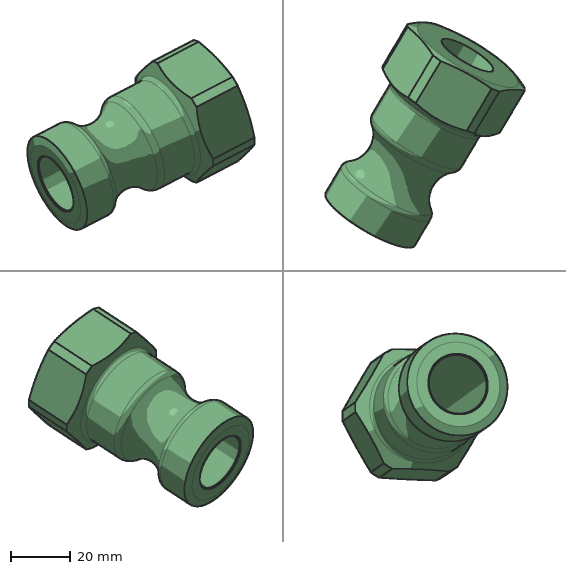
import cadquery as cq
import math

length = 67.0
body_radius = 35.0 / 2
bore_radius = 20.0 / 2
bore_chamfer = 0.4

end_face_radius = 14.5
end_bevel_depth = 0.75

front_land_end = 11.5
neck_radius = 12.5
neck_arc_radius = 11.05
front_blend_radius = 2.2
rear_blend_radius = 3.0

across_flats = 41.0
corner_radius = 45.5 / 2
shoulder_start = 44.9
shoulder_fillet = 2.0
shoulder_angle = math.radians(30)
back_bevel_depth = 0.9
back_bevel_angle = math.radians(15)

neck_arc_height = neck_radius + neck_arc_radius


def neck_offset(blend_radius):
    """Axial distance from the neck centre to the centre of a tangent blend arc."""
    centre_distance = neck_arc_radius + blend_radius
    rise = neck_arc_height - (body_radius - blend_radius)
    return math.sqrt(centre_distance**2 - rise**2)


neck_y = front_land_end + neck_offset(front_blend_radius)
rear_land_start = neck_y + neck_offset(rear_blend_radius)


def blend_points(blend_y, blend_radius):
    """Return the middle of a blend arc and its tangent point on the neck arc."""
    centre_height = body_radius - blend_radius
    along = neck_y - blend_y
    up = neck_arc_height - centre_height
    start_angle = math.pi / 2
    tangent_angle = math.atan2(up, along)
    middle_angle = (start_angle + tangent_angle) / 2

    def on_arc(angle):
        return (
            centre_height + blend_radius * math.sin(angle),
            blend_y + blend_radius * math.cos(angle),
        )

    return on_arc(middle_angle), on_arc(tangent_angle)


def turned_blank():
    """Revolve the (radius, Y) half section about the Y axis."""
    front_middle, front_tangent = blend_points(front_land_end, front_blend_radius)
    rear_middle, rear_tangent = blend_points(rear_land_start, rear_blend_radius)

    fillet_sweep = math.pi / 2 - shoulder_angle

    def on_fillet(angle):
        return (
            body_radius + shoulder_fillet * (1 - math.cos(angle)),
            shoulder_start + shoulder_fillet * math.sin(angle),
        )

    cone_start = on_fillet(fillet_sweep)
    cone_end_y = cone_start[1] + (corner_radius - cone_start[0]) * math.tan(shoulder_angle)
    back_face_radius = corner_radius - back_bevel_depth / math.tan(back_bevel_angle)

    section = (
        cq.Workplane("XY")
        .moveTo(0, 0)
        .lineTo(end_face_radius, 0)
        .lineTo(body_radius, end_bevel_depth)
        .lineTo(body_radius, front_land_end)
        .threePointArc(front_middle, front_tangent)
        .threePointArc((neck_radius, neck_y), rear_tangent)
        .threePointArc(rear_middle, (body_radius, rear_land_start))
        .lineTo(body_radius, shoulder_start)
        .threePointArc(on_fillet(fillet_sweep / 2), cone_start)
        .lineTo(corner_radius, cone_end_y)
        .lineTo(corner_radius, length - back_bevel_depth)
        .lineTo(back_face_radius, length)
        .lineTo(0, length)
        .close()
    )
    return section.revolve(360, (0, 0, 0), (0, 1, 0))


def hexagon_prism():
    """Full-length hexagon with flats facing up and down and corners along X."""
    corner_diameter = across_flats / math.cos(math.pi / 6)
    return cq.Workplane("XZ").polygon(6, corner_diameter).extrude(-length)


def bore():
    """Through bore with a small 45 degree chamfer at the Y = 0 mouth."""
    mouth_radius = bore_radius + bore_chamfer
    return (
        cq.Workplane("XY")
        .polyline([
            (0, 0),
            (mouth_radius, 0),
            (bore_radius, bore_chamfer),
            (bore_radius, length),
            (0, length),
        ])
        .close()
        .revolve(360, (0, 0, 0), (0, 1, 0))
    )


result = turned_blank().intersect(hexagon_prism()).cut(bore())